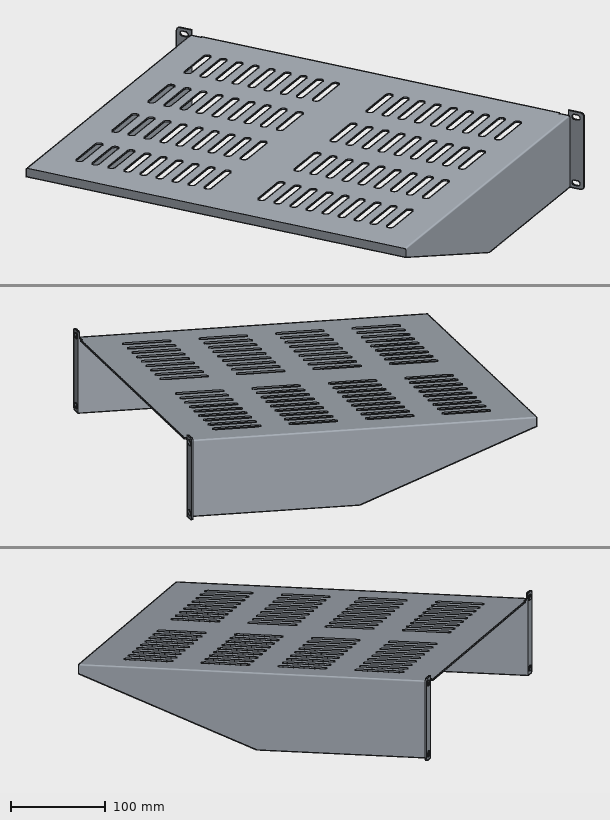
import cadquery as cq

ear_span = 482.5
depth = 381.3
ear_height = 89.0

sheet = 1.7
bend_radius = sheet
body_width = 450.0
shelf_drop = 6.0
lip_height = 10.0
wall_full_length = 188.0
relief_width = 11.0

ear_corner_radius = 4.0
mount_slot_length = 9.5
mount_slot_width = 6.0
mount_spacing_x = 464.5
mount_spacing_z = 76.3

vent_columns = 9
vent_rows = 4
vent_block_width = 152.0
vent_pitch_y = 83.5
vent_length = 52.5
vent_width = 8.0
vent_inner_offset = 32.0
vent_front_offset = 66.0

vent_pitch_x = vent_block_width / (vent_columns - 1)
shelf_top = ear_height - shelf_drop
inner_half_width = body_width / 2 - sheet


def box(x0, x1, y0, y1, z0, z1):
    """Block between two opposite corners."""
    corner = cq.Workplane("XY", origin=(x0, y0, z0))
    return corner.box(x1 - x0, y1 - y0, z1 - z0, centered=False)


def tray():
    """Folded tray: side profile extruded across, then hollowed from below and behind."""
    profile = [
        (0, shelf_top),
        (depth, shelf_top),
        (depth, 0),
        (depth - wall_full_length, 0),
        (0, shelf_top - lip_height),
    ]
    blank = cq.Workplane("YZ").polyline(profile).close().extrude(body_width / 2, both=True)
    blank = blank.edges("|Y and >Z").fillet(bend_radius)
    hollow = box(-inner_half_width, inner_half_width, sheet, depth, 0, shelf_top - sheet)
    return blank.cut(hollow)


def relief(side):
    """Rear corner notch on one side that frees the shelf from the ear."""
    x_wall = side * inner_half_width
    x_shelf = side * (inner_half_width - relief_width)
    return box(min(x_wall, x_shelf), max(x_wall, x_shelf), depth - sheet, depth, shelf_top - sheet, shelf_top)


def ear(side):
    """Rack ear on one side (-1 left, +1 right), bent outward from the rear of the wall."""
    x_outer = side * ear_span / 2
    x_inner = side * inner_half_width
    plate = box(min(x_outer, x_inner), max(x_outer, x_inner), depth - sheet, depth, 0, ear_height)
    outer_edges = "|Y and <X" if side < 0 else "|Y and >X"
    return plate.edges(outer_edges).fillet(ear_corner_radius)


def mount_slots():
    """Horizontal mounting slots, two through each ear."""
    return (
        cq.Workplane("XZ", origin=(0, depth, ear_height / 2))
        .rarray(mount_spacing_x, mount_spacing_z, 2, 2)
        .slot2D(mount_slot_length, mount_slot_width)
        .extrude(sheet)
    )


def vents():
    """Ventilation slots through the shelf, long side along Y."""
    centres = []
    for side in (-1, 1):
        for column in range(vent_columns):
            x = side * (vent_inner_offset + column * vent_pitch_x)
            for row in range(vent_rows):
                centres.append((x, vent_front_offset + row * vent_pitch_y))
    return (
        cq.Workplane("XY", origin=(0, 0, shelf_top - sheet))
        .pushPoints(centres)
        .slot2D(vent_length, vent_width, 90)
        .extrude(sheet)
    )


result = tray().cut(vents())
for side in (-1, 1):
    result = result.cut(relief(side)).union(ear(side))
result = result.cut(mount_slots())